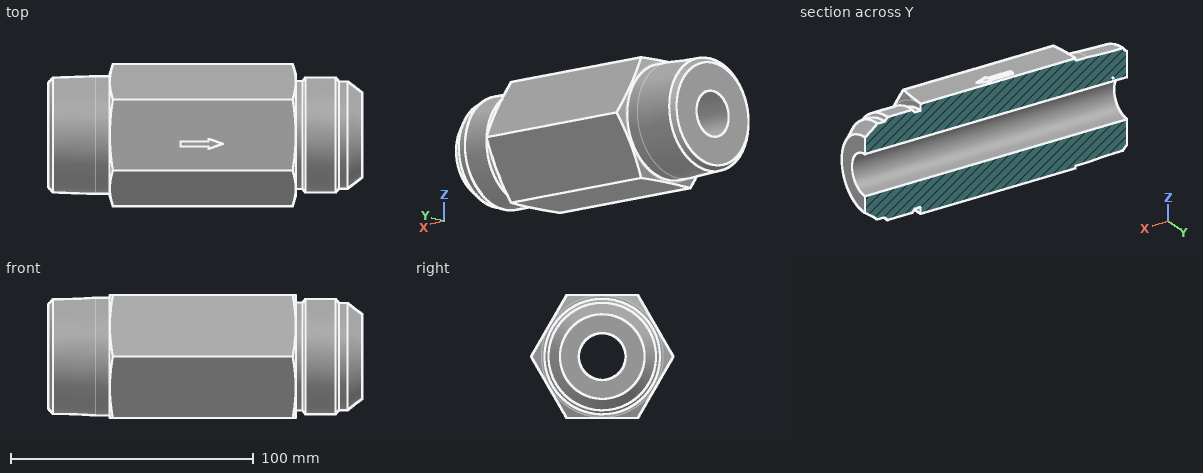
import cadquery as cq
import math

overall_length = 129.54
taper_chamfer_length = 2.1
taper_end = 19.6
hex_start = 25.4
hex_end = 102.1
groove_end = 104.9
thread_start = 106.1
thread_end = 118.4
nose_start = 119.9
cone_start = 123.4

tapered_face_dia = 43.0
taper_small_dia = 47.4
thread_dia = 47.62
taper_large_dia = 48.64
groove_dia = 44.65
nose_dia = 44.32
cone_tip_dia = 34.9
bore_dia = 19.2

across_flats = 50.8
hex_sides = 6
across_corners = across_flats / math.cos(math.pi / hex_sides)
hex_chamfer_dia = 50.2
hex_chamfer_length = 1.3

arrow_tail_x = 54.6
arrow_neck_x = 66.2
arrow_tip_x = 72.0
arrow_y = -3.6
arrow_shaft_width = 2.1
arrow_head_width = 4.1
engraving_depth = 0.25


def revolve_profile(stations):
    """Solid of revolution about X from (x, diameter) stations."""
    first_x = stations[0][0]
    last_x = stations[-1][0]
    outline = [(first_x, 0)] + [(x, dia / 2) for x, dia in stations] + [(last_x, 0)]
    return cq.Workplane("XY").polyline(outline).close().revolve(360, (0, 0, 0), (1, 0, 0))


def make_end_fittings():
    """Tapered end, grooved straight thread end and flared nose, as one turned core."""
    return revolve_profile([
        (0, tapered_face_dia),
        (taper_chamfer_length, taper_small_dia),
        (taper_end, taper_large_dia),
        (hex_start, taper_large_dia),
        (hex_start, groove_dia),
        (groove_end, groove_dia),
        (thread_start, thread_dia),
        (thread_end, thread_dia),
        (nose_start, nose_dia),
        (cone_start, nose_dia),
        (overall_length, cone_tip_dia),
    ])


def make_hexagon():
    """Hexagon with flats at top and bottom, its corners turned to a cone at both ends."""
    prism = (
        cq.Workplane("YZ", origin=(hex_start, 0, 0))
        .polygon(hex_sides, across_corners)
        .extrude(hex_end - hex_start)
    )
    turned_envelope = revolve_profile([
        (hex_start, hex_chamfer_dia),
        (hex_start + hex_chamfer_length, across_corners),
        (hex_end - hex_chamfer_length, across_corners),
        (hex_end, hex_chamfer_dia),
    ])
    return prism.intersect(turned_envelope)


def make_bore():
    """Through bore along the axis."""
    return cq.Workplane("YZ").circle(bore_dia / 2).extrude(overall_length)


def make_arrow():
    """Arrow pointing toward +X, sunk into the top flat."""
    half_shaft = arrow_shaft_width / 2
    half_head = arrow_head_width / 2
    return (
        cq.Workplane("XY", origin=(0, arrow_y, across_flats / 2))
        .polyline([
            (arrow_tail_x, -half_shaft),
            (arrow_neck_x, -half_shaft),
            (arrow_neck_x, -half_head),
            (arrow_tip_x, 0),
            (arrow_neck_x, half_head),
            (arrow_neck_x, half_shaft),
            (arrow_tail_x, half_shaft),
        ])
        .close()
        .extrude(-engraving_depth)
    )


result = make_end_fittings().union(make_hexagon()).cut(make_bore()).cut(make_arrow())